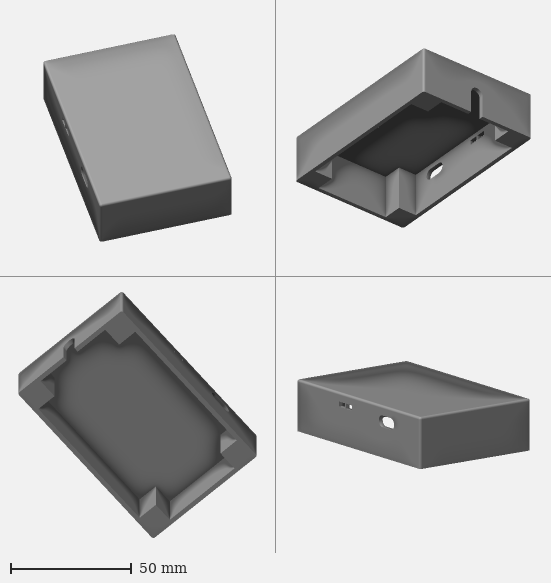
import cadquery as cq

LENGTH = 86.0
WIDTH = 57.0
HEIGHT = 22.0
WALL = 2.0
EDGE_RADIUS = 1.0

CORNER_BLOCK = 8.9

WINDOW_WIDTH = 4.3
WINDOW_HEIGHT = 2.2
WINDOW_GAP = 0.6
WINDOW_PAIR_X = -8.95
WINDOW_Z = 17.0

SLOT_LENGTH = 10.6
SLOT_HEIGHT = 5.0
SLOT_X = 19.6
SLOT_Z = 15.4

NOTCH_WIDTH = 6.0
NOTCH_HEIGHT = 13.0
NOTCH_Y = 0.4


def cover_shell():
    """Rounded box hollowed from its open bottom."""
    outer = cq.Workplane("XY").box(LENGTH, WIDTH, HEIGHT, centered=(True, True, False))
    outer = outer.edges("|Z or >Z").fillet(EDGE_RADIUS)
    cavity = cq.Workplane("XY").box(
        LENGTH - 2 * WALL, WIDTH - 2 * WALL, HEIGHT - WALL, centered=(True, True, False)
    )
    return outer.cut(cavity)


def corner_blocks():
    spacing_x = LENGTH - 2 * WALL - CORNER_BLOCK
    spacing_y = WIDTH - 2 * WALL - CORNER_BLOCK
    return (
        cq.Workplane("XY")
        .rarray(spacing_x, spacing_y, 2, 2)
        .rect(CORNER_BLOCK, CORNER_BLOCK)
        .extrude(HEIGHT - WALL)
    )


def front_plane():
    """Sketch plane on the outside of the front wall."""
    return cq.Workplane("XZ", origin=(0, -WIDTH / 2, 0))


def front_windows():
    spacing = WINDOW_WIDTH + WINDOW_GAP
    centers = [(WINDOW_PAIR_X + side * spacing / 2, WINDOW_Z) for side in (-1, 1)]
    return front_plane().pushPoints(centers).rect(WINDOW_WIDTH, WINDOW_HEIGHT).extrude(-WALL)


def front_slot():
    return front_plane().center(SLOT_X, SLOT_Z).slot2D(SLOT_LENGTH, SLOT_HEIGHT).extrude(-WALL)


def cable_notch():
    radius = NOTCH_WIDTH / 2
    spring_height = NOTCH_HEIGHT - radius
    return (
        cq.Workplane("YZ", origin=(-LENGTH / 2, NOTCH_Y, 0))
        .moveTo(-radius, 0)
        .lineTo(-radius, spring_height)
        .threePointArc((0, NOTCH_HEIGHT), (radius, spring_height))
        .lineTo(radius, 0)
        .close()
        .extrude(WALL)
    )


cover = cover_shell().union(corner_blocks())
result = cover.cut(front_windows()).cut(front_slot()).cut(cable_notch())